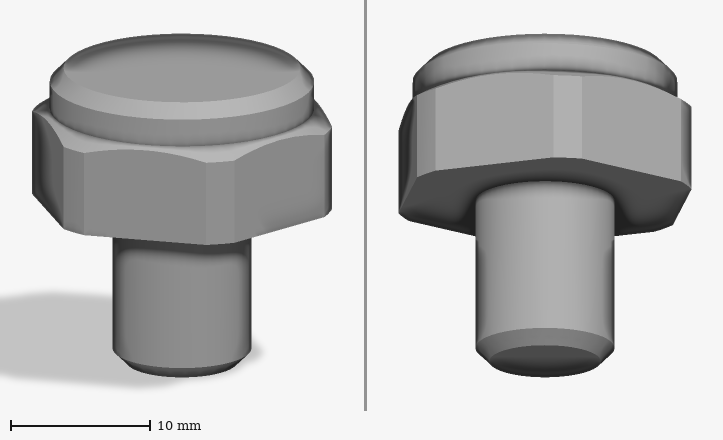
import cadquery as cq
import math

across_flats = 19.92
corner_diameter = 21.9
hex_height = 7.0
hex_sides = 6
hex_top_angle = 30.0

cap_diameter = 19.0
cap_height = 3.0
cap_chamfer = 1.0

shank_diameter = 10.0
shank_length = 12.0
shank_chamfer = 1.0


def make_hex_head():
    """Hexagonal prism trimmed by a turned blank with a conical top; its base is at Z = 0."""
    half_side_angle = 180.0 / hex_sides
    sharp_corner_diameter = across_flats / math.cos(math.radians(half_side_angle))
    prism = (
        cq.Workplane("XY")
        .polygon(hex_sides, sharp_corner_diameter)
        .extrude(hex_height)
        .rotate((0, 0, 0), (0, 0, 1), half_side_angle)
    )
    cap_radius = cap_diameter / 2
    corner_radius = corner_diameter / 2
    cone_drop = (corner_radius - cap_radius) * math.tan(math.radians(hex_top_angle))
    turned_blank = (
        cq.Workplane("XZ")
        .moveTo(0, 0)
        .lineTo(corner_radius, 0)
        .lineTo(corner_radius, hex_height - cone_drop)
        .lineTo(cap_radius, hex_height)
        .lineTo(0, hex_height)
        .close()
        .revolve(360, (0, 0, 0), (0, 1, 0))
    )
    return prism.intersect(turned_blank)


def make_cap():
    """Disc on top of the head with a chamfered upper rim."""
    return (
        cq.Workplane("XY")
        .workplane(offset=hex_height)
        .circle(cap_diameter / 2)
        .extrude(cap_height)
        .faces(">Z")
        .chamfer(cap_chamfer)
    )


def make_shank():
    """Cylinder hanging below the head with a chamfered lower end."""
    return (
        cq.Workplane("XY")
        .circle(shank_diameter / 2)
        .extrude(-shank_length)
        .faces("<Z")
        .chamfer(shank_chamfer)
    )


result = make_hex_head().union(make_cap()).union(make_shank())